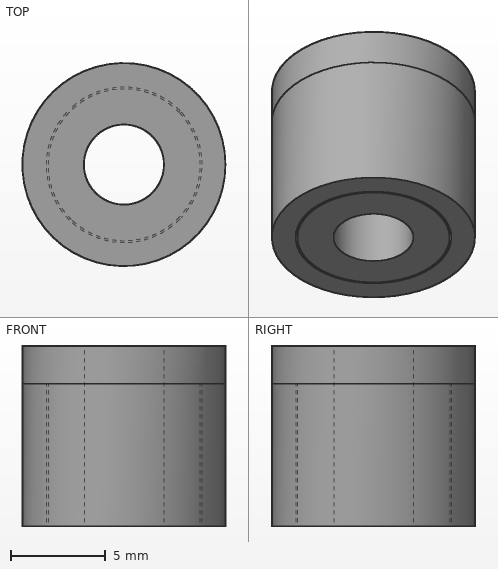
import cadquery as cq

outer_diameter = 10.7
total_height = 9.5
bore_diameter = 4.2

flange_height = 2.0
spigot_diameter = 8.0
sleeve_bore_diameter = 8.2
sleeve_height = total_height - flange_height


def make_bushing():
    """Flanged bushing with a bore through its whole height."""
    spigot = cq.Workplane("XY").circle(spigot_diameter / 2).extrude(sleeve_height)
    flange = (
        cq.Workplane("XY")
        .workplane(offset=sleeve_height)
        .circle(outer_diameter / 2)
        .extrude(flange_height)
    )
    bore = cq.Workplane("XY").circle(bore_diameter / 2).extrude(total_height)
    return spigot.union(flange).cut(bore)


def make_sleeve():
    """Plain sleeve around the spigot with a small clearance, flush with the flange rim."""
    return (
        cq.Workplane("XY")
        .circle(outer_diameter / 2)
        .circle(sleeve_bore_diameter / 2)
        .extrude(sleeve_height)
    )


bushing = make_bushing()
sleeve = make_sleeve()

result = cq.Compound.makeCompound([bushing.val(), sleeve.val()])